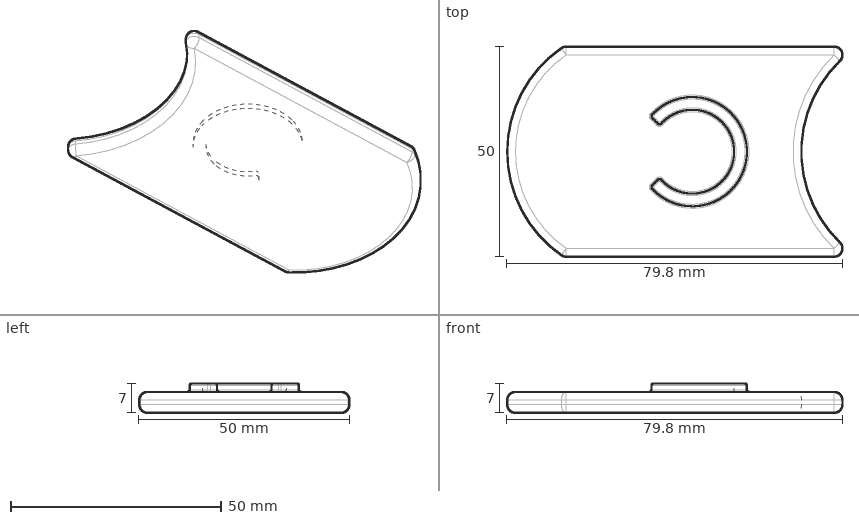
import cadquery as cq
import math

plate_length = 79.75
plate_width = 50.0
plate_thickness = 5.0
edge_radius = 2.0
end_radius = 30.0

tip_center_x = plate_length - end_radius - edge_radius
tip_center_y = plate_width / 2 - edge_radius
end_spacing = tip_center_x + math.sqrt((end_radius + edge_radius) ** 2 - tip_center_y**2)

ring_center_x = 14.0
ring_outer_radius = 13.0
ring_inner_radius = 10.0
ring_height = 2.0
ring_edge_radius = 0.5
ring_top_radius = 0.47
opening_apex_offset = 1.5


def make_plate():
    """Plate with one convex and one concave end, fully rounded along its edges."""
    half_width = plate_width / 2
    corner_offset = math.sqrt(end_radius**2 - half_width**2)
    left_x = -corner_offset
    right_x = end_spacing - corner_offset
    outline = (
        cq.Workplane("XY")
        .moveTo(left_x, -half_width)
        .lineTo(right_x, -half_width)
        .threePointArc((end_spacing - end_radius, 0), (right_x, half_width))
        .lineTo(left_x, half_width)
        .threePointArc((-end_radius, 0), (left_x, -half_width))
        .close()
    )
    return outline.extrude(plate_thickness).edges().fillet(edge_radius)


def make_ring():
    """C-shaped ring with rounded ends and top edges, standing on the plate."""
    ring = (
        cq.Workplane("XY", origin=(ring_center_x, 0, plate_thickness))
        .circle(ring_outer_radius)
        .circle(ring_inner_radius)
        .extrude(ring_height)
    )
    reach = 2 * ring_outer_radius
    apex_x = ring_center_x - opening_apex_offset
    opening = (
        cq.Workplane("XY", origin=(0, 0, plate_thickness))
        .polyline([(apex_x, 0), (apex_x - reach, reach), (apex_x - reach, -reach)])
        .close()
        .extrude(ring_height)
    )
    ring = ring.cut(opening)
    ring = ring.edges("|Z").fillet(ring_edge_radius)
    return ring.faces(">Z").edges().fillet(ring_top_radius)


def blend_ring_foot(body):
    """Concave fillet where the ring meets the top face of the plate."""
    margin = 0.1
    reach = ring_outer_radius + margin
    foot_zone = cq.selectors.BoxSelector(
        (ring_center_x - reach, -reach, plate_thickness - margin),
        (ring_center_x + reach, reach, plate_thickness + margin),
    )
    return body.edges(foot_zone).fillet(ring_edge_radius)


result = blend_ring_foot(make_plate().union(make_ring()))